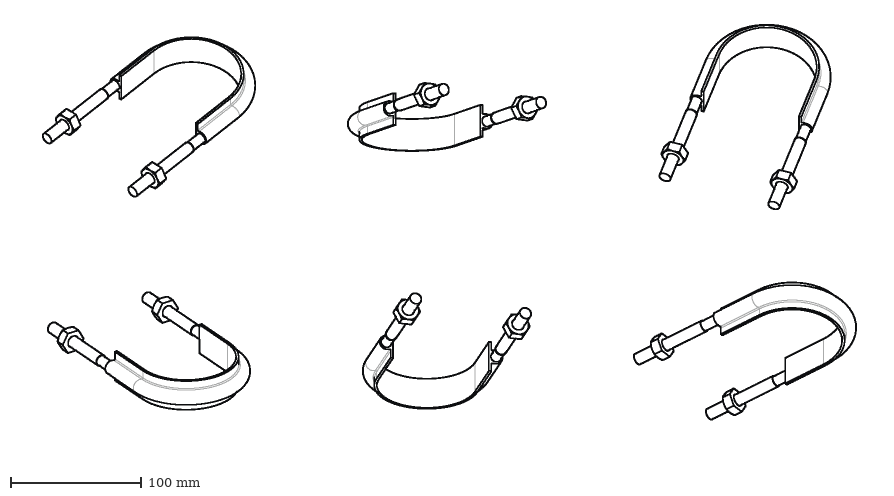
import cadquery as cq
import math

total_length = 166.2
total_width = 107.5
nut_flats = 17.0
nut_corner_radius = nut_flats / math.sqrt(3)
leg_offset = total_width / 2 - nut_corner_radius
ridge_height = 5.3
bend_y = total_length - leg_offset - ridge_height

thread_diameter = 9.1
neck_diameter = 8.1
thread_end_y = 65.6

sleeve_end_y = 79.1
band_width = 25.0
band_inner = 38.4
band_outer = 40.4
ridge_radius = 5.8
ridge_center = leg_offset + ridge_height - ridge_radius
ridge_fillet = 0.8

nut_height = 8.0
nut_start_y = 20.0
nut_bore_diameter = 9.6
nut_face_diameter = 16.8
chamfer_angle = 30.0


def sweep_along_u(make_profile, start_y):
    """Carry an XZ profile, drawn at the +X leg, along both straight legs and the half-turn bend."""
    leg_length = bend_y - start_y
    leg = make_profile().extrude(-leg_length).translate((0, start_y, 0))
    bend = make_profile().revolve(180, (0, 0, 0), (0, 1, 0))
    bend = bend.translate((0, bend_y, 0))
    return leg.union(leg.mirror("YZ")).union(bend)


def neck_profile():
    return cq.Workplane("XZ").moveTo(leg_offset, 0).circle(neck_diameter / 2)


def make_rod():
    rod = sweep_along_u(neck_profile, thread_end_y)
    threads = (
        cq.Workplane("XZ")
        .pushPoints([(-leg_offset, 0), (leg_offset, 0)])
        .circle(thread_diameter / 2)
        .extrude(-thread_end_y)
    )
    return rod.union(threads)


def sleeve_profile():
    """Flat band with a round outer ridge blended into it."""
    fillet_x = band_outer + ridge_fillet
    fillet_z = math.sqrt((ridge_radius + ridge_fillet) ** 2 - (ridge_center - fillet_x) ** 2)
    share = ridge_radius / (ridge_radius + ridge_fillet)
    tangent_x = ridge_center + share * (fillet_x - ridge_center)
    tangent_z = share * fillet_z
    end_angle = math.atan2(-fillet_z, ridge_center - fillet_x)
    middle_angle = (end_angle - math.pi) / 2
    middle_x = fillet_x + ridge_fillet * math.cos(middle_angle)
    middle_z = fillet_z + ridge_fillet * math.sin(middle_angle)
    half_width = band_width / 2
    return (
        cq.Workplane("XZ")
        .moveTo(band_inner, -half_width)
        .lineTo(band_outer, -half_width)
        .lineTo(band_outer, -fillet_z)
        .threePointArc((middle_x, -middle_z), (tangent_x, -tangent_z))
        .threePointArc((ridge_center + ridge_radius, 0), (tangent_x, tangent_z))
        .threePointArc((middle_x, middle_z), (band_outer, fillet_z))
        .lineTo(band_outer, half_width)
        .lineTo(band_inner, half_width)
        .close()
    )


def make_sleeve(rod):
    return sweep_along_u(sleeve_profile, sleeve_end_y).cut(rod)


def make_nut(x):
    face_radius = nut_face_diameter / 2
    chamfer_depth = (nut_corner_radius - face_radius) * math.tan(math.radians(chamfer_angle))
    prism = cq.Workplane("XZ").polygon(6, 2 * nut_corner_radius).extrude(-nut_height)
    envelope = (
        cq.Workplane("XY")
        .polyline([
            (0, 0),
            (face_radius, 0),
            (nut_corner_radius, chamfer_depth),
            (nut_corner_radius, nut_height),
            (0, nut_height),
        ])
        .close()
        .revolve(360, (0, 0, 0), (0, 1, 0))
    )
    bore = cq.Workplane("XZ").circle(nut_bore_diameter / 2).extrude(-nut_height)
    return prism.intersect(envelope).cut(bore).translate((x, nut_start_y, 0))


rod = make_rod()
sleeve = make_sleeve(rod)
nuts = [make_nut(x) for x in (-leg_offset, leg_offset)]

result = cq.Compound.makeCompound([rod.val(), sleeve.val(), *[nut.val() for nut in nuts]])